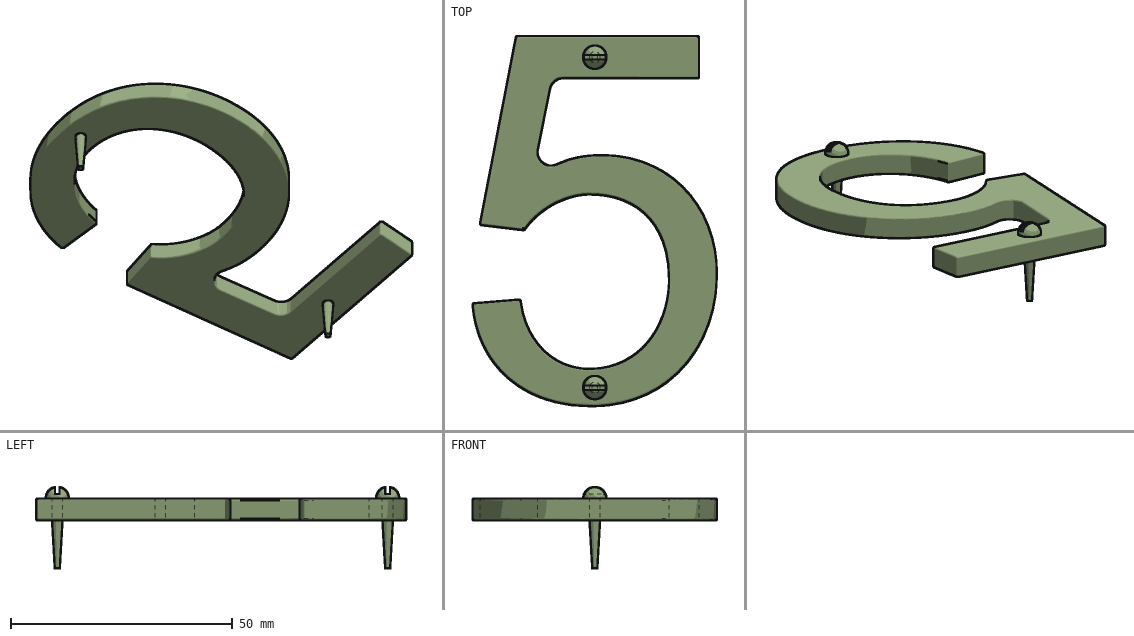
import cadquery as cq
import math

plate_thickness = 5.0
edge_radius = 0.5
notch_radius = 3.0

numeral_height = 83.7
bar_height = 9.6
bar_right_x = 23.6
bar_left_x = -17.8
bar_underside_y = numeral_height - bar_height
stem_slant = 10.9
stem_height = 42.73
stem_foot_left = (
    bar_left_x - stem_height * math.tan(math.radians(stem_slant)),
    numeral_height - stem_height,
)
stem_foot_right = (-15.97, 39.75)
notch_top = (-9.62, bar_underside_y)
notch_bottom = (-14.1, 51.75)

outer_top = (1.6, 56.8)
outer_right = (27.62, 29.95)
outer_bottom = (-0.8, 0.0)
outer_tail = (-27.67, 23.3)
inner_tail = (-16.77, 24.2)
inner_bottom = (-1.2, 8.5)
inner_right = (16.75, 28.75)
inner_top = (-1.3, 47.85)

right, up, left, down = 0, 90, 180, 270
notch_bottom_direction = 29
outer_tail_direction = 94
inner_tail_direction = -84
stem_foot_direction = 235.5

screw_y_positions = (inner_bottom[1] / 2, numeral_height - bar_height / 2)
head_radius = 2.65
slot_width = 1.0
slot_depth = 1.6
shank_top_diameter = 2.45
shank_tip_diameter = 1.2
shank_length = 10.81


def along(point, direction, distance):
    angle = math.radians(direction)
    return (point[0] + distance * math.cos(angle), point[1] + distance * math.sin(angle))


def add_curve(outline, start, start_direction, start_pull, end, end_direction, end_pull):
    """Adds a cubic Bezier that leaves start and reaches end in the given travel directions.

    The pulls are the lengths of the Bezier handles: a longer one keeps the curve straight for longer.
    """
    start_handle = along(start, start_direction, start_pull)
    end_handle = along(end, end_direction, -end_pull)
    return outline.bezier([start_handle, end_handle, end], includeCurrent=True)


def make_outline():
    outline = cq.Workplane("XY").moveTo(bar_left_x, numeral_height)
    outline = outline.lineTo(bar_right_x, numeral_height).lineTo(bar_right_x, bar_underside_y)
    outline = outline.lineTo(*notch_top).lineTo(*notch_bottom)
    outline = add_curve(outline, notch_bottom, notch_bottom_direction, 5.0, outer_top, right, 7.8)
    outline = add_curve(outline, outer_top, right, 15.2, outer_right, down, 15.4)
    outline = add_curve(outline, outer_right, down, 16.1, outer_bottom, left, 17.8)
    outline = add_curve(outline, outer_bottom, left, 15.7, outer_tail, outer_tail_direction, 13.7)
    outline = outline.lineTo(*inner_tail)
    outline = add_curve(outline, inner_tail, inner_tail_direction, 9.4, inner_bottom, right, 8.3)
    outline = add_curve(outline, inner_bottom, right, 11.1, inner_right, up, 11.0)
    outline = add_curve(outline, inner_right, up, 11.5, inner_top, left, 11.9)
    outline = add_curve(outline, inner_top, left, 4.8, stem_foot_right, stem_foot_direction, 6.4)
    return outline.lineTo(*stem_foot_left).close()


def round_upright_edges(plate, corners, radius):
    for corner in corners:
        edge_middle = (corner[0], corner[1], plate_thickness / 2)
        plate = plate.edges(cq.selectors.NearestToPointSelector(edge_middle)).fillet(radius)
    return plate


def make_numeral():
    """The numeral 5 as a plate with rounded edges and two screw holes."""
    plate = make_outline().extrude(plate_thickness)
    notch_corners = [notch_top, notch_bottom]
    outer_corners = [
        (bar_left_x, numeral_height),
        (bar_right_x, numeral_height),
        (bar_right_x, bar_underside_y),
        stem_foot_left,
        stem_foot_right,
        outer_tail,
        inner_tail,
    ]
    plate = round_upright_edges(plate, notch_corners, notch_radius)
    plate = round_upright_edges(plate, outer_corners, edge_radius)
    plate = plate.faces("<Z or >Z").edges().fillet(edge_radius)

    holes = (
        cq.Workplane("XY")
        .pushPoints([(0, y) for y in screw_y_positions])
        .circle(shank_top_diameter / 2)
        .extrude(plate_thickness)
    )
    return plate.cut(holes)


def make_screw(y):
    """Slotted round-head screw: half-ball head, straight through the plate, then tapered."""
    head_top_z = plate_thickness + head_radius
    tip_radius = shank_tip_diameter / 2
    shank_radius = shank_top_diameter / 2
    head_arc_middle = along((0, plate_thickness), 45, head_radius)
    screw = (
        cq.Workplane("XZ")
        .moveTo(0, -shank_length)
        .lineTo(tip_radius, -shank_length)
        .lineTo(shank_radius, 0)
        .lineTo(shank_radius, plate_thickness)
        .lineTo(head_radius, plate_thickness)
        .threePointArc(head_arc_middle, (0, head_top_z))
        .close()
        .revolve(360, (0, 0, 0), (0, 1, 0))
    )
    slot = (
        cq.Workplane("XY")
        .box(2 * head_radius, slot_width, slot_depth, centered=(True, True, False))
        .translate((0, 0, head_top_z - slot_depth))
    )
    return screw.cut(slot).translate((0, y, 0))


numeral = make_numeral()
screws = [make_screw(y) for y in screw_y_positions]

result = cq.Compound.makeCompound([numeral.val(), *[screw.val() for screw in screws]])